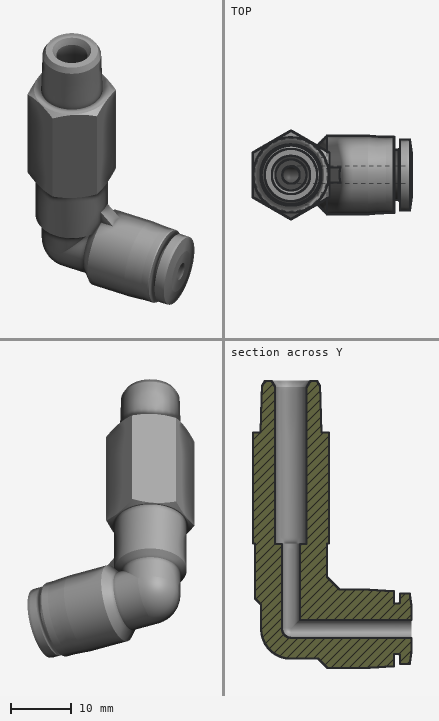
import cadquery as cq

elbow_diameter = 9.98
elbow_radius = elbow_diameter / 2
passage_diameter = 2.9

outlet_radius = 13.0 / 2
outlet_cone_end = 6.0
outlet_cone_start = outlet_cone_end - (outlet_radius - elbow_radius)
taper_start = 12.75
taper_end = 15.7
taper_end_radius = 6.3
sleeve_chamfer_start = 16.9
sleeve_end = 17.1
sleeve_end_radius = 12.5 / 2
neck_radius = 8.35 / 2
neck_flare_start = 17.75
neck_flare_radius = 4.3
release_ring_start = 18.0
release_ring_radius = 11.8 / 2
ring_bevel_start = 19.3
release_ring_rim = 19.65
rim_radius = 5.85
outlet_end = 20.0
ring_face_radius = 3.5

top_z = 47.5 - outlet_radius
stem_radius = 12.0 / 2
stem_bottom = elbow_radius
stem_cone_bottom = stem_bottom - (stem_radius - elbow_radius)
hex_bottom = 14.05
hex_top = 32.45
hex_corners = 14.7
hex_face_radius = 12.5 / 2
hex_chamfer_height = 0.6
thread_base_radius = 10.15 / 2
thread_tip_radius = 9.7 / 2
thread_face_radius = 8.65 / 2
thread_chamfer_height = 0.9

bore_radius = 5.15 / 2
bore_mouth_radius = 6.35 / 2
bore_mouth_depth = 1.05

rib_width = 2.45
rib_top = 8.55
rib_end = outlet_cone_end + rib_top - elbow_radius


def turned_about_z(points):
    """Revolve an outline of (radius, z) points about the Z axis."""
    return cq.Workplane("XZ").polyline(points).close().revolve(360, (0, 0, 0), (0, 1, 0))


def round_elbow(diameter, x_length, z_length):
    """Two round legs joined by a ball at the origin."""
    ball = cq.Workplane("XY").sphere(diameter / 2)
    x_leg = cq.Workplane("YZ").circle(diameter / 2).extrude(x_length)
    z_leg = cq.Workplane("XY").circle(diameter / 2).extrude(z_length)
    return z_leg.union(x_leg).union(ball)


def make_stem():
    return turned_about_z([
        (0, stem_cone_bottom),
        (elbow_radius, stem_cone_bottom),
        (stem_radius, stem_bottom),
        (stem_radius, hex_top),
        (thread_base_radius, hex_top),
        (thread_tip_radius, top_z - thread_chamfer_height),
        (thread_face_radius, top_z),
        (0, top_z),
    ])


def make_hex():
    """Hexagon with flats facing X and corners chamfered at both ends."""
    prism = (
        cq.Workplane("XY", origin=(0, 0, hex_bottom))
        .polygon(6, hex_corners)
        .extrude(hex_top - hex_bottom)
        .rotate((0, 0, 0), (0, 0, 1), 30)
    )
    envelope = turned_about_z([
        (0, hex_bottom),
        (hex_face_radius, hex_bottom),
        (hex_corners / 2, hex_bottom + hex_chamfer_height),
        (hex_corners / 2, hex_top - hex_chamfer_height),
        (hex_face_radius, hex_top),
        (0, hex_top),
    ])
    return prism.intersect(envelope)


def make_outlet():
    """Sleeve, neck and release ring turned about the X axis."""
    return (
        cq.Workplane("XZ")
        .moveTo(outlet_cone_start, 0)
        .lineTo(outlet_cone_start, elbow_radius)
        .lineTo(outlet_cone_end, outlet_radius)
        .lineTo(taper_start, outlet_radius)
        .lineTo(taper_end, taper_end_radius)
        .lineTo(sleeve_chamfer_start, taper_end_radius)
        .lineTo(sleeve_end, sleeve_end_radius)
        .lineTo(sleeve_end, neck_radius)
        .lineTo(neck_flare_start, neck_radius)
        .lineTo(release_ring_start, neck_flare_radius)
        .lineTo(release_ring_start, release_ring_radius)
        .lineTo(ring_bevel_start, release_ring_radius)
        .lineTo(release_ring_rim, rim_radius)
        .lineTo(outlet_end, ring_face_radius)
        .lineTo(outlet_end, 0)
        .close()
        .revolve(360, (0, 0, 0), (1, 0, 0))
    )


def make_rib():
    return (
        cq.Workplane("XZ")
        .polyline([
            (elbow_radius, elbow_radius),
            (rib_end, elbow_radius),
            (outlet_cone_end, rib_top),
            (elbow_radius, rib_top),
        ])
        .close()
        .extrude(rib_width / 2, both=True)
    )


def make_stem_bore():
    return turned_about_z([
        (0, hex_bottom),
        (bore_radius, hex_bottom),
        (bore_radius, top_z - bore_mouth_depth),
        (bore_mouth_radius, top_z),
        (0, top_z),
    ])


body = round_elbow(elbow_diameter, outlet_cone_end, stem_bottom)
body = body.union(make_stem()).union(make_hex()).union(make_outlet()).union(make_rib())
passage = round_elbow(passage_diameter, outlet_end, hex_bottom)
result = body.cut(passage).cut(make_stem_bore())